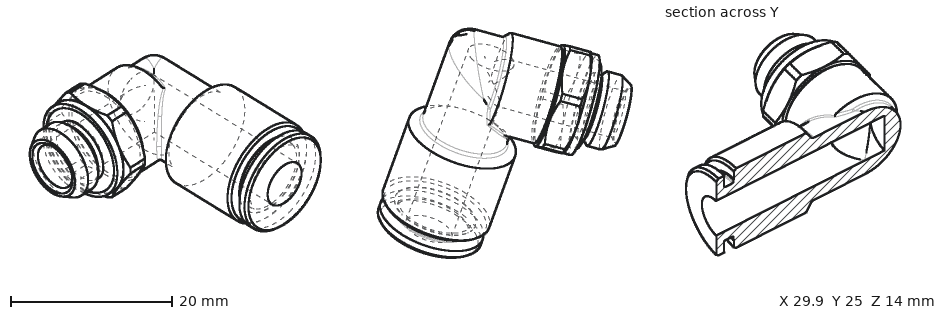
import cadquery as cq
import math


elbow_radius = 5.5
elbow_corner_round = 2.5
bore_radius = 3.0

socket_radius = 7.0
socket_end = 20.0
socket_cone_start = 8.05
socket_cone_end = 8.9
socket_cone_round = 0.5
socket_chamfer = 0.35
collet_step_radius = 5.3
collet_step_end = 20.08
collet_neck_radius = 4.72
collet_neck_round = 0.12
flange_start = 21.44
flange_end = 22.7
flange_radius = 6.75
flange_chamfer = 0.35

collar_radius = 6.25
collar_cone_start = 1.05
collar_cone_round = 0.5
collar_to_arm_round = 0.4
hex_start = 8.5
collar_end_chamfer = 0.3
hex_end = 12.0
hex_sides = 6
hex_across_flats = 13.0
hex_corner_radius = 7.25
hex_face_radius = 6.5
hex_chamfer_height = 0.45
washer_radius = 6.45
washer_end = 13.05
ring_outer_radius = 5.9
ring_section_radius = 0.9
ring_end = 13.7
stem_neck_radius = 4.15
thread_radius = 4.8
thread_start = 14.1
thread_lead_in = thread_radius - stem_neck_radius
thread_tip_start = 16.55
thread_tip_radius = 3.95
stem_end = 18.0
bore_mouth_chamfer = 0.5

match_tolerance = 0.01


def turned_along_x(profile):
    """Revolve a closed (x, radius) profile about the X axis."""
    return cq.Workplane("XY").polyline(profile).close().revolve(360, (0, 0), (1, 0))


def turned_along_y(profile):
    """Revolve a closed (radius, distance) profile about Y, distance measured along -Y."""
    points = [(radius, -distance) for radius, distance in profile]
    return cq.Workplane("XY").polyline(points).close().revolve(360, (0, 0), (0, 1))


def rounded_ring(solid, ring_center, ring_radius, round_radius):
    """Fillet the circular edge that has the given centre and radius."""
    def is_ring(edge):
        if edge.geomType() != "CIRCLE":
            return False
        same_place = (edge.Center() - cq.Vector(*ring_center)).Length < match_tolerance
        return same_place and abs(edge.radius() - ring_radius) < match_tolerance

    rings = [edge for edge in solid.edges().vals() if is_ring(edge)]
    return cq.Workplane(solid.val().fillet(round_radius, rings))


def mitred_leg(axis_plane, leg_side):
    """Elbow leg reaching past both ends of the corner, kept only on its own side of the mitre plane."""
    span = 2 * elbow_radius
    pipe = cq.Workplane(axis_plane).circle(elbow_radius).extrude(elbow_radius, both=True)
    keep = (
        cq.Workplane("XY")
        .polyline([(-span, span), (leg_side * span, leg_side * span), (span, -span)])
        .close()
        .extrude(span, both=True)
    )
    return pipe.intersect(keep)


def corner_trim():
    """Material between the sharp outer mitre of the elbow and its rounded form."""
    sharp = (
        cq.Workplane("YZ").circle(elbow_radius).extrude(-elbow_radius)
        .intersect(cq.Workplane("XZ").circle(elbow_radius).extrude(-elbow_radius))
    )
    mitre_tip = (-elbow_radius, elbow_radius, 0)
    rounded = sharp.edges(cq.selectors.NearestToPointSelector(mitre_tip)).fillet(elbow_corner_round)
    return sharp.cut(rounded)


def elbow():
    return mitred_leg("YZ", 1).union(mitred_leg("XZ", -1)).cut(corner_trim())


def tube_arm():
    arm = turned_along_x([
        (0, 0),
        (0, elbow_radius),
        (socket_cone_start, elbow_radius),
        (socket_cone_end, socket_radius),
        (socket_end - socket_chamfer, socket_radius),
        (socket_end, socket_radius - socket_chamfer),
        (socket_end, collet_step_radius),
        (collet_step_end, collet_step_radius),
        (collet_step_end, collet_neck_radius),
        (flange_start, collet_neck_radius),
        (flange_start, flange_radius),
        (flange_end - flange_chamfer, flange_radius),
        (flange_end, flange_radius - flange_chamfer),
        (flange_end, 0),
    ])
    arm = rounded_ring(arm, (socket_cone_start, 0, 0), elbow_radius, socket_cone_round)
    for neck_end in (collet_step_end, flange_start):
        arm = rounded_ring(arm, (neck_end, 0, 0), collet_neck_radius, collet_neck_round)
    return arm


def collar():
    cone_height = collar_radius - elbow_radius
    body = turned_along_y([
        (0, 0),
        (elbow_radius, 0),
        (elbow_radius, collar_cone_start),
        (collar_radius, collar_cone_start + cone_height),
        (collar_radius, hex_start - collar_end_chamfer),
        (collar_radius - collar_end_chamfer, hex_start),
        (0, hex_start),
    ])
    return rounded_ring(body, (0, -collar_cone_start, 0), elbow_radius, collar_cone_round)


def hexagon():
    corner_diameter = hex_across_flats / math.cos(math.pi / hex_sides)
    prism = (
        cq.Workplane("XZ")
        .workplane(offset=hex_start)
        .polygon(hex_sides, corner_diameter)
        .extrude(hex_end - hex_start)
    )
    turned_blank = turned_along_y([
        (0, hex_start),
        (hex_face_radius, hex_start),
        (hex_corner_radius, hex_start + hex_chamfer_height),
        (hex_corner_radius, hex_end - hex_chamfer_height),
        (hex_face_radius, hex_end),
        (0, hex_end),
    ])
    return prism.intersect(turned_blank)


def threaded_stem():
    return turned_along_y([
        (0, hex_end),
        (washer_radius, hex_end),
        (washer_radius, washer_end),
        (stem_neck_radius, washer_end),
        (stem_neck_radius, thread_start),
        (thread_radius, thread_start + thread_lead_in),
        (thread_radius, thread_tip_start),
        (thread_tip_radius, stem_end),
        (0, stem_end),
    ])


def sealing_ring():
    center_radius = ring_outer_radius - ring_section_radius
    center_distance = ring_end - ring_section_radius
    return (
        cq.Workplane("XY")
        .center(center_radius, -center_distance)
        .circle(ring_section_radius)
        .revolve(360, (-center_radius, 0), (-center_radius, 1))
    )


def bores():
    arm_bore = cq.Workplane("YZ").workplane(offset=-bore_radius).circle(bore_radius)
    arm_bore = arm_bore.extrude(flange_end + bore_radius)
    stem_bore = turned_along_y([
        (0, 0),
        (bore_radius, 0),
        (bore_radius, stem_end - bore_mouth_chamfer),
        (bore_radius + bore_mouth_chamfer, stem_end),
        (0, stem_end),
    ])
    return arm_bore.union(stem_bore)


def is_crease(edge):
    """True for an edge where the collar meets the arm: on the arm cylinder, on the inside of the elbow."""
    points = [edge.positionAt(position) for position in (0, 0.5, 1)]
    return all(
        abs(math.hypot(point.y, point.z) - elbow_radius) < match_tolerance
        and match_tolerance < point.x < collar_radius + match_tolerance
        and point.y < -match_tolerance
        for point in points
    )


def elbow_body():
    """Elbow with socket and collar, the inside crease between collar and arm blended."""
    sharp_body = elbow().union(tube_arm()).union(collar())
    crease = [edge for edge in sharp_body.edges().vals() if is_crease(edge)]
    return cq.Workplane(sharp_body.val().fillet(collar_to_arm_round, crease))


result = (
    elbow_body()
    .union(hexagon())
    .union(threaded_stem())
    .union(sealing_ring())
    .cut(bores())
    .solids()
)